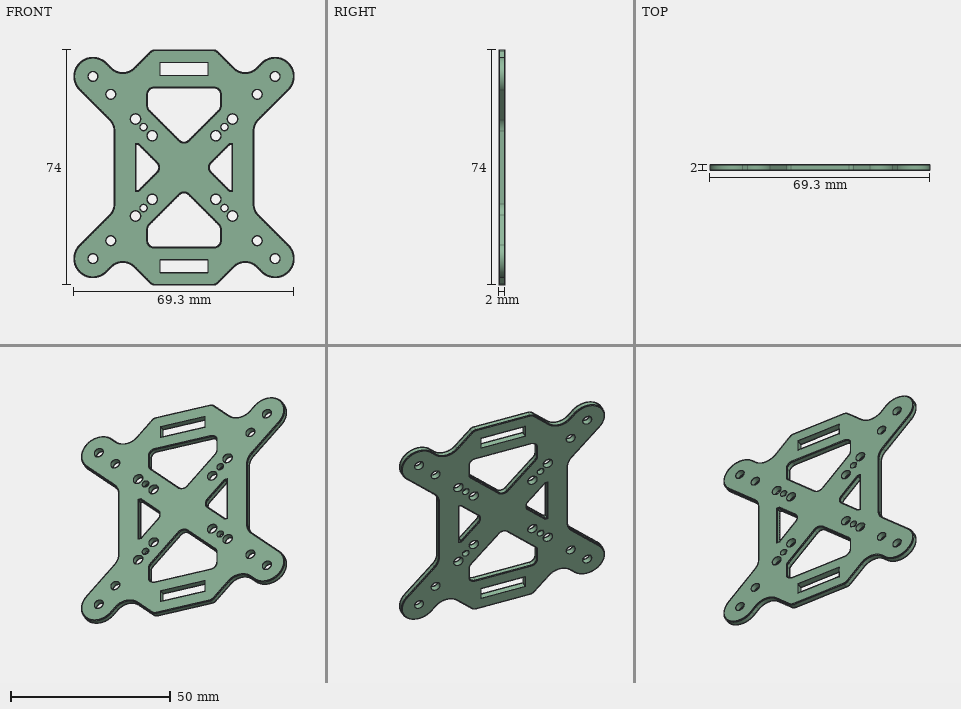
import cadquery as cq
import math

height = 74.0
width = 69.3
thickness = 2.0
edge_chamfer = 0.25

arm_radius = 6.0
arm_end_offset = width / 2 - arm_radius
waist_half_width = 22.0
end_half_width = 10.0
arm_root_radius = 5.0
corner_radius = 2.0

strap_crossing = 7.1
end_window_half_width = 11.5
end_window_far_edge = 25.0
side_window_far_edge = 15.0
side_window_half_height = 7.25

slot_length = 15.0
slot_width = 4.0
slot_offset = 31.0

diagonal_holes = [
    (arm_end_offset, 3.0),
    (23.0, 3.0),
    (15.25, 3.2),
    (12.7, 2.2),
    (10.0, 3.2),
]


def through(profile):
    """Extrude an XZ profile through the plate thickness."""
    return profile.extrude(thickness).translate((0, thickness / 2, 0))


def polygon(points):
    return through(cq.Workplane("XZ").polyline(points).close())


def four_quadrants(x, z):
    return [(x, z), (x, -z), (-x, -z), (-x, z)]


def turned(body, angle):
    """Rotate a body about the Y axis."""
    return body.rotate((0, 0, 0), (0, 1, 0), angle)


def round_corners(body, corners, radius):
    """Round the edges along Y that stand at the given XZ corners."""
    for x, z in corners:
        corner = cq.selectors.NearestToPointSelector((x, 0, z))
        body = body.edges("|Y").edges(corner).fillet(radius)
    return body


def make_body():
    """Octagon with 45 degree slopes between its flat ends and its straight sides."""
    slope_depth = waist_half_width - end_half_width
    side_half_height = height / 2 - slope_depth
    points = [
        (end_half_width, height / 2),
        (waist_half_width, side_half_height),
        (waist_half_width, -side_half_height),
        (end_half_width, -height / 2),
        (-end_half_width, -height / 2),
        (-waist_half_width, -side_half_height),
        (-waist_half_width, side_half_height),
        (-end_half_width, height / 2),
    ]
    return polygon(points)


def make_outline():
    """Body and diagonal arms joined, with rounded corners and arm roots."""
    arm_length = 2 * (arm_end_offset * math.sqrt(2) + arm_radius)
    arm = through(cq.Workplane("XZ").slot2D(arm_length, 2 * arm_radius))
    outline = make_body().union(turned(arm, 45)).union(turned(arm, -45))

    arm_side_shift = arm_radius * math.sqrt(2)
    slope_sum = height / 2 + end_half_width
    end_root_x = (slope_sum - arm_side_shift) / 2
    end_root_z = (slope_sum + arm_side_shift) / 2
    waist_root_z = waist_half_width - arm_side_shift

    outline = round_corners(outline, four_quadrants(end_half_width, height / 2), corner_radius)
    outline = round_corners(outline, four_quadrants(end_root_x, end_root_z), arm_root_radius)
    return round_corners(outline, four_quadrants(waist_half_width, waist_root_z), arm_root_radius)


def make_end_window():
    """Five-sided window pointing at the plate centre, all corners rounded."""
    shoulder = strap_crossing + end_window_half_width
    points = [
        (0, strap_crossing),
        (end_window_half_width, shoulder),
        (end_window_half_width, end_window_far_edge),
        (-end_window_half_width, end_window_far_edge),
        (-end_window_half_width, shoulder),
    ]
    return polygon(points).edges("|Y").fillet(corner_radius)


def make_side_window():
    """Triangular window with blunt outer corners and a rounded point at the plate centre."""
    shoulder = strap_crossing + side_window_half_height
    tip = (strap_crossing, 0)
    points = [
        tip,
        (shoulder, side_window_half_height),
        (side_window_far_edge, side_window_half_height),
        (side_window_far_edge, -side_window_half_height),
        (shoulder, -side_window_half_height),
    ]
    return round_corners(polygon(points), [tip], corner_radius)


plate = make_outline()
for window in (make_end_window(), make_side_window()):
    plate = plate.cut(window).cut(turned(window, 180))

plate = plate.faces("<Y or >Y").edges().chamfer(edge_chamfer)

slot_centres = [(0, slot_offset), (0, -slot_offset)]
plate = plate.cut(through(cq.Workplane("XZ").pushPoints(slot_centres).rect(slot_length, slot_width)))

for offset, diameter in diagonal_holes:
    centres = four_quadrants(offset, offset)
    plate = plate.cut(through(cq.Workplane("XZ").pushPoints(centres).circle(diameter / 2)))

result = plate